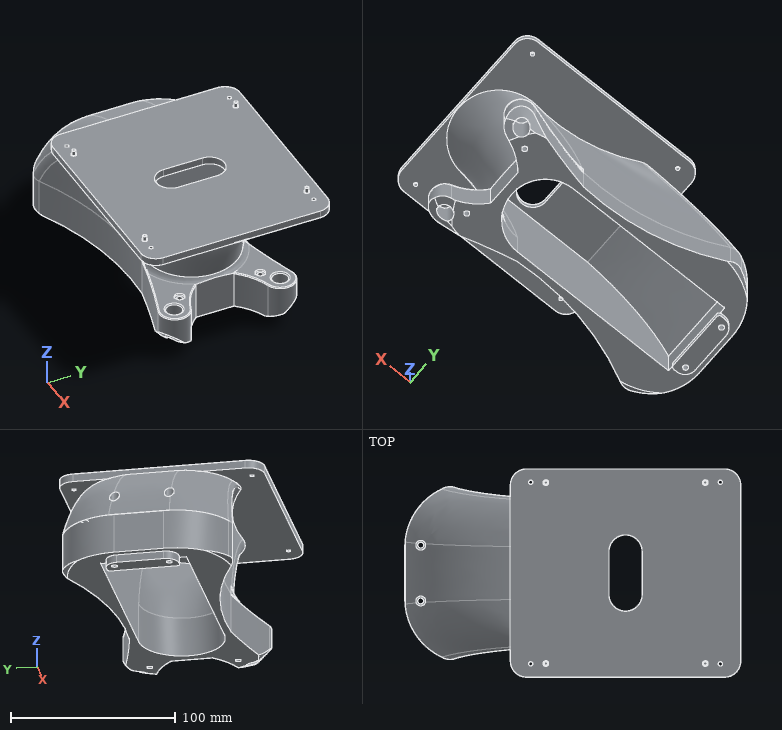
import cadquery as cq
import math

BASE_TOP = 25.2
PLATE_BOTTOM = 78.0
PLATE_THICK = 5.1
PLATE_TOP = PLATE_BOTTOM + PLATE_THICK
PIN_TOP = 86.2
FOOT_DEPTH = 5.0

PLATE_END = 204.7
PLATE_LENGTH = 140.5
PLATE_WIDTH = 127.0
PLATE_CORNER = 10.0
PLATE_X = PLATE_END - PLATE_LENGTH / 2
SLOT_LENGTH = 46.3
SLOT_WIDTH = 20.0
PIN_DIAMETER = 2.5
PIN_CHAMFER = 0.2
PIN_SPAN_X = 97.0
PIN_SPAN_Y = 110.1
PIN_RELIEF_DIAMETER = 3.5
PIN_RELIEF_DEPTH = 0.6
PLATE_HOLE_DIAMETER = 2.5
PLATE_HOLE_SPAN_X = 115.5
PLATE_HOLE_SPAN_Y = 110.5

FRONT_HALF = 15.4
FRONT_BOW = (8.0, 39.3)
CORNER_START = (22.5, 51.2)
CORNER_MID = (26.6, 52.6)
CORNER_END = (31.7, 51.8)
FLANK_MID = (75.7, 35.6)
REAR_SEAM = (131.6, 31.5)
REAR_X = 166.2

EAR_FLANK_MID = (157.6, 37.9)
EAR_HOLE = (184.9, 36.0)
EAR_FLANK_END = (182.0, 45.5)
EAR_INNER_END = (188.3, 26.2)
CROTCH_END = (168.3, 12.9)
EAR_EDGE = 0.6
EAR_HOLE_DIAMETER = 10.5
EAR_HOLE_CHAMFER = 0.8
EAR_SCREW = (175.0, 27.5)
EAR_SCREW_HEAD = 6.5
EAR_SCREW_HEAD_DEPTH = 1.2
SCREW_DIAMETER = 3.5

FRONT_PROFILE = ((0.0, BASE_TOP), (20.5, 54.5), (64.3, PLATE_BOTTOM))
REAR_PROFILE = ((REAR_X, BASE_TOP), (178.3, 54.5), (204.3, PLATE_BOTTOM))
PANEL_SETBACK = 0.5
PANEL_HALF = 18.8
SHOULDER_TAPER = 7.4
BODY_SECTIONS = 6
FRONT_WALL = 15.4
WALL = 4.0
CAVITY_HALF = 26.6
FLARE_RUN = 4.0
FLARE_RISE = 5.3

FRONT_SCREW_X = 9.8
FRONT_SCREW_Y = 17.0
FRONT_SCREW_HEAD = 6.0
FOOT_START = 4.3
FOOT_LENGTH = 12.3
FOOT_WIDTH = 45.0
FOOT_FRONT_CORNER = 8.0
FOOT_REAR_CORNER = 2.0

RIM_RELIEFS = (
    (41.0, 51.4, 4.0, 7.2, 0.0, 61.5),
    (163.8, 41.5, 17.2, 14.3, 153.5, PLATE_END),
    (131.0, 60.4, 9.2, 20.5, 153.5, PLATE_END),
)


def mirrored(point):
    return (point[0], -point[1])


def arc_x(points, z):
    """X at height z on the circle through three (x, z) points, on the middle point's side."""
    (x0, z0), (x1, z1), (x2, z2) = points
    a, b = x1 - x0, z1 - z0
    c, d = x2 - x0, z2 - z0
    e, f = (a * a + b * b) / 2, (c * c + d * d) / 2
    det = a * d - b * c
    centre_x = x0 + (e * d - b * f) / det
    centre_z = z0 + (a * f - e * c) / det
    radius = math.hypot(x0 - centre_x, z0 - centre_z)
    reach = math.sqrt(max(radius**2 - (z - centre_z) ** 2, 0))
    return centre_x + math.copysign(reach, x1 - centre_x)


def front_shift(z):
    return arc_x(FRONT_PROFILE, z) - FRONT_PROFILE[0][0]


def rear_shift(z):
    return arc_x(REAR_PROFILE, z) - REAR_X


def body_section(z):
    """Closed plan wire of the body at height z: it leans to +X and its shoulders draw in."""
    rise = (z - BASE_TOP) / (PLATE_BOTTOM - BASE_TOP)

    def place(point):
        """Move an outline point of the base to this height."""
        x, y = point
        along = max((x - CORNER_END[0]) / (REAR_SEAM[0] - CORNER_END[0]), 0)
        shift = front_shift(z) + along * (rear_shift(z) - front_shift(z))
        taper = SHOULDER_TAPER * rise * (1 - along) * y / CORNER_END[1]
        return (x + shift, y - taper)

    panel, bow, start = place((PANEL_SETBACK, PANEL_HALF)), place(FRONT_BOW), place(CORNER_START)
    mid, end = place(CORNER_MID), place(CORNER_END)
    flank, seam = place(FLANK_MID), place(REAR_SEAM)
    return (
        cq.Workplane("XY", origin=(0, 0, z))
        .moveTo(*mirrored(panel))
        .lineTo(*panel)
        .threePointArc(bow, start)
        .threePointArc(mid, end)
        .threePointArc(flank, seam)
        .threePointArc((REAR_X + rear_shift(z), 0), mirrored(seam))
        .threePointArc(mirrored(flank), mirrored(end))
        .threePointArc(mirrored(mid), mirrored(start))
        .threePointArc(mirrored(bow), mirrored(panel))
        .close()
        .val()
    )


def cavity_section(z):
    """Closed plan wire of the hollow at height z: straight sides and a round rear end."""
    lean_height = max(z, BASE_TOP)
    front = FRONT_WALL + front_shift(lean_height)
    round_start = REAR_X - WALL - CAVITY_HALF + rear_shift(lean_height)
    return (
        cq.Workplane("XY", origin=(0, 0, z))
        .moveTo(front, -CAVITY_HALF)
        .lineTo(front, CAVITY_HALF)
        .lineTo(round_start, CAVITY_HALF)
        .threePointArc((REAR_X - WALL + rear_shift(lean_height), 0), (round_start, -CAVITY_HALF))
        .close()
        .val()
    )


def body_loft(section):
    """Smooth solid from the base to the plate through plan wires made by the section function."""
    step = (PLATE_BOTTOM - BASE_TOP) / (BODY_SECTIONS - 1)
    wires = [section(BASE_TOP + i * step) for i in range(BODY_SECTIONS)]
    return cq.Workplane(cq.Solid.makeLoft(wires))


def slice_between(x_start, x_end):
    """Block that spans the whole part in Y and Z between two X limits."""
    length = x_end - x_start
    centre_x = x_start + length / 2
    return cq.Workplane("XY").box(length, PLATE_WIDTH, 2 * PLATE_TOP).translate((centre_x, 0, 0))


def with_mirror_image(half):
    return half.union(half.mirror("XZ"))


def relief(axis_x, radius, rise, run, x_start, x_end):
    """Ring that bevels what lies outside the radius about a vertical axis, between two X limits."""
    ring = (
        cq.Workplane("XZ", origin=(axis_x, 0, 0))
        .polyline([(radius, 0), (radius + run, rise), (radius + run, 0)])
        .close()
        .revolve(360, (0, 0, 0), (0, 1, 0))
    )
    return ring.intersect(slice_between(x_start, x_end))


def base_half(height):
    """Upright block with the base's outline on the +Y side."""
    return (
        cq.Workplane("XY")
        .lineTo(0, FRONT_HALF)
        .threePointArc(FRONT_BOW, CORNER_START)
        .threePointArc(CORNER_MID, CORNER_END)
        .threePointArc(FLANK_MID, REAR_SEAM)
        .threePointArc(EAR_FLANK_MID, EAR_FLANK_END)
        .tangentArcPoint(EAR_INNER_END, relative=False)
        .tangentArcPoint(CROTCH_END, relative=False)
        .lineTo(CROTCH_END[0], 0)
        .close()
        .extrude(height)
    )


def make_base():
    half = base_half(BASE_TOP)
    behind_seam = cq.selectors.BoxSelector((REAR_SEAM[0], 0, 0), (PLATE_END, PLATE_WIDTH, PLATE_TOP))
    half = half.faces(">Z").edges(behind_seam).edges("%CIRCLE").chamfer(EAR_EDGE)
    base = with_mirror_image(half)
    for sizes in RIM_RELIEFS:
        base = base.cut(relief(*sizes))
    return base


def make_flare():
    """Concave blend between the round rear of the body and the top of the ears."""
    depth = REAR_X - REAR_SEAM[0]
    radius = (depth**2 + REAR_SEAM[1] ** 2) / (2 * depth)
    inside = radius - WALL / 2
    foot = radius + FLARE_RUN
    top = BASE_TOP + FLARE_RISE
    hollow = 1 - math.sqrt(0.5)
    middle = (radius + FLARE_RUN * hollow, BASE_TOP + FLARE_RISE * hollow)
    ring = (
        cq.Workplane("XZ", origin=(REAR_X - radius, 0, 0))
        .moveTo(inside, BASE_TOP)
        .lineTo(foot, BASE_TOP)
        .threePointArc(middle, (radius, top))
        .lineTo(inside, top)
        .close()
        .revolve(360, (0, 0, 0), (0, 1, 0))
    )
    above_base = with_mirror_image(base_half(top))
    return ring.intersect(above_base).intersect(slice_between(REAR_SEAM[0], PLATE_END))


def make_foot():
    return (
        cq.Workplane("XY", origin=(FOOT_START + FOOT_LENGTH / 2, 0, 0))
        .rect(FOOT_LENGTH, FOOT_WIDTH)
        .extrude(-FOOT_DEPTH)
        .edges("|Z and <X")
        .fillet(FOOT_FRONT_CORNER)
        .edges("|Z and >X")
        .fillet(FOOT_REAR_CORNER)
    )


def four_rods(span_x, span_y, diameter, bottom, top):
    """Four upright cylinders at the corners of a rectangle centred on the plate."""
    return (
        cq.Workplane("XY", origin=(PLATE_X, 0, bottom))
        .rect(span_x, span_y, forConstruction=True)
        .vertices()
        .circle(diameter / 2)
        .extrude(top - bottom)
    )


def make_plate():
    plate = (
        cq.Workplane("XY", origin=(PLATE_X, 0, PLATE_BOTTOM))
        .rect(PLATE_LENGTH, PLATE_WIDTH)
        .extrude(PLATE_THICK)
        .edges("|Z")
        .fillet(PLATE_CORNER)
    )
    slot = (
        cq.Workplane("XY", origin=(PLATE_X, 0, PLATE_BOTTOM))
        .slot2D(SLOT_LENGTH, SLOT_WIDTH, 90)
        .extrude(PLATE_THICK)
    )
    holes = four_rods(PLATE_HOLE_SPAN_X, PLATE_HOLE_SPAN_Y, PLATE_HOLE_DIAMETER, PLATE_BOTTOM, PLATE_TOP)
    plate = plate.cut(slot).cut(holes)
    pin_spans = (PIN_SPAN_X, PIN_SPAN_Y)
    plate = plate.cut(four_rods(*pin_spans, PIN_RELIEF_DIAMETER, PLATE_TOP - PIN_RELIEF_DEPTH, PLATE_TOP))
    pins = four_rods(*pin_spans, PIN_DIAMETER, PLATE_BOTTOM, PIN_TOP).faces(">Z").chamfer(PIN_CHAMFER)
    return plate.union(pins)


def drill(part, place, diameter, bottom, top):
    """Vertical hole at a point and its mirror image across the XZ plane."""
    tool = (
        cq.Workplane("XY", origin=(0, 0, bottom))
        .pushPoints([place, mirrored(place)])
        .circle(diameter / 2)
        .extrude(top - bottom)
    )
    return part.cut(tool)


def bevel_ear_holes(part):
    """Conical lead-in at the top of the large hole in each ear."""
    radius = EAR_HOLE_DIAMETER / 2
    start_z = BASE_TOP - EAR_HOLE_CHAMFER
    for hole_x, hole_y in (EAR_HOLE, mirrored(EAR_HOLE)):
        start = cq.Vector(hole_x, hole_y, start_z)
        cone = cq.Solid.makeCone(radius, radius + EAR_HOLE_CHAMFER, EAR_HOLE_CHAMFER, start)
        part = part.cut(cq.Workplane(cone))
    return part


housing = make_base().union(body_loft(body_section)).union(make_flare())

well = cq.Workplane(cq.Solid.extrudeLinear(cavity_section(0), [], cq.Vector(0, 0, BASE_TOP)))
housing = housing.cut(body_loft(cavity_section)).cut(well)

result = housing.union(make_foot()).union(make_plate())

front_screw = (FRONT_SCREW_X, FRONT_SCREW_Y)
result = drill(result, front_screw, SCREW_DIAMETER, -FOOT_DEPTH, BASE_TOP)
result = drill(result, front_screw, FRONT_SCREW_HEAD, BASE_TOP, PLATE_BOTTOM)

result = drill(result, EAR_HOLE, EAR_HOLE_DIAMETER, 0, BASE_TOP)
result = bevel_ear_holes(result)
result = drill(result, EAR_SCREW, SCREW_DIAMETER, 0, BASE_TOP)
result = drill(result, EAR_SCREW, EAR_SCREW_HEAD, BASE_TOP - EAR_SCREW_HEAD_DEPTH, BASE_TOP)